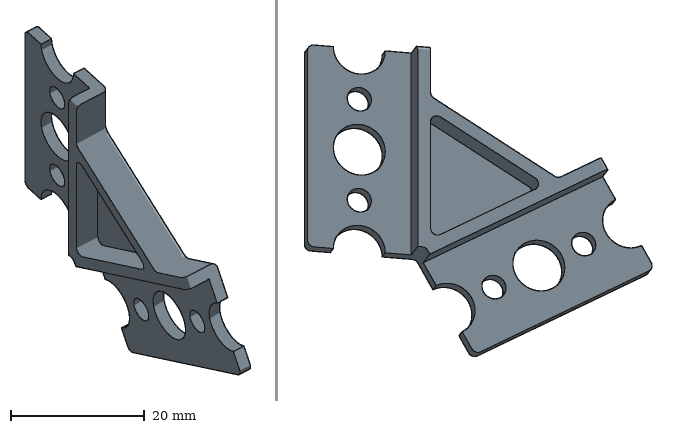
import cadquery as cq
import math

pitch = 8.0
flange_half_width = pitch
half_length = 2 * pitch
large_radius = pitch / 2
small_radius = 1.85
sheet = 2.0
depth = 6.0
round_radius = 1.0

wall_outer = flange_half_width + sheet
bracket_spacing = 4 * pitch
axis_angle = math.radians(60)
mirror_normal = (math.sin(axis_angle), 0, -math.cos(axis_angle))
mirror_base = tuple(bracket_spacing / 2 * component for component in mirror_normal)
tie_root_height = pitch


def mirrored(point):
    """Reflect an (x, z) point across the mirror axis."""
    nx, nz = mirror_normal[0], mirror_normal[2]
    offset = point[0] * nx + point[1] * nz - bracket_spacing / 2
    return (point[0] - 2 * offset * nx, point[1] - 2 * offset * nz)


def axis_height(x):
    """Z of the mirror axis at a given X."""
    return mirror_base[2] + (x - mirror_base[0]) * math.tan(axis_angle)


def make_bracket():
    """Upright bracket: drilled and notched flange with a wall along its inner side."""
    flange = (
        cq.Workplane("XZ")
        .rect(2 * flange_half_width, 2 * half_length)
        .extrude(sheet)
        .edges("|Y and <X")
        .fillet(round_radius)
    )
    wall = (
        cq.Workplane("XZ")
        .center(flange_half_width + sheet / 2, 0)
        .rect(sheet, 2 * half_length)
        .extrude(depth)
        .edges("<Y and >Z")
        .fillet(round_radius)
    )
    large_cuts = (
        cq.Workplane("XZ")
        .pushPoints([(0, -half_length), (0, 0), (0, half_length)])
        .circle(large_radius)
        .extrude(sheet)
    )
    small_cuts = (
        cq.Workplane("XZ")
        .pushPoints([(0, -pitch), (0, pitch)])
        .circle(small_radius)
        .extrude(sheet)
    )
    return flange.union(wall).cut(large_cuts).cut(small_cuts)


def web_triangle(root_height):
    """Triangular prism between the two walls, closed by a line square to the mirror axis."""
    apex = (wall_outer, axis_height(wall_outer))
    root = (wall_outer, root_height)
    return cq.Workplane("XZ").polyline([apex, root, mirrored(root)]).close().extrude(depth)


def near(point, y):
    """Select the edge whose middle is closest to an (x, z) point at depth y."""
    return cq.selectors.NearestToPointSelector((point[0], y, point[1]))


def round_inside_corners(body):
    """Round the corners at both ends of the tie bar and where the flange ends meet."""
    root = (wall_outer, tie_root_height)
    end_meeting_x = mirror_base[0] - (half_length + mirror_base[2]) / math.tan(axis_angle)
    corners = [(root, depth), (mirrored(root), depth), ((end_meeting_x, -half_length), depth)]
    for corner, edge_length in corners:
        body = body.edges("|Y").edges(near(corner, -edge_length / 2)).fillet(round_radius)
    return body


def round_back_edge(body):
    """Round the back edge that runs along the upright wall, the tie bar and the second wall."""
    wall_middle = (wall_outer, (tie_root_height + half_length) / 2)
    return body.edges(near(wall_middle, 0)).fillet(round_radius)


def make_pocket():
    """Front pocket in the web, leaving a floor and the tie bar."""
    tie_width_along_wall = sheet / math.sin(axis_angle)
    return (
        web_triangle(tie_root_height - tie_width_along_wall)
        .edges("|Y")
        .fillet(round_radius)
        .translate((0, -sheet, 0))
    )


bracket = make_bracket()
second_bracket = bracket.mirror(mirror_normal, mirror_base)
body = bracket.union(second_bracket).union(web_triangle(tie_root_height)).clean()
body = round_inside_corners(body)
body = round_back_edge(body)
result = body.cut(make_pocket())